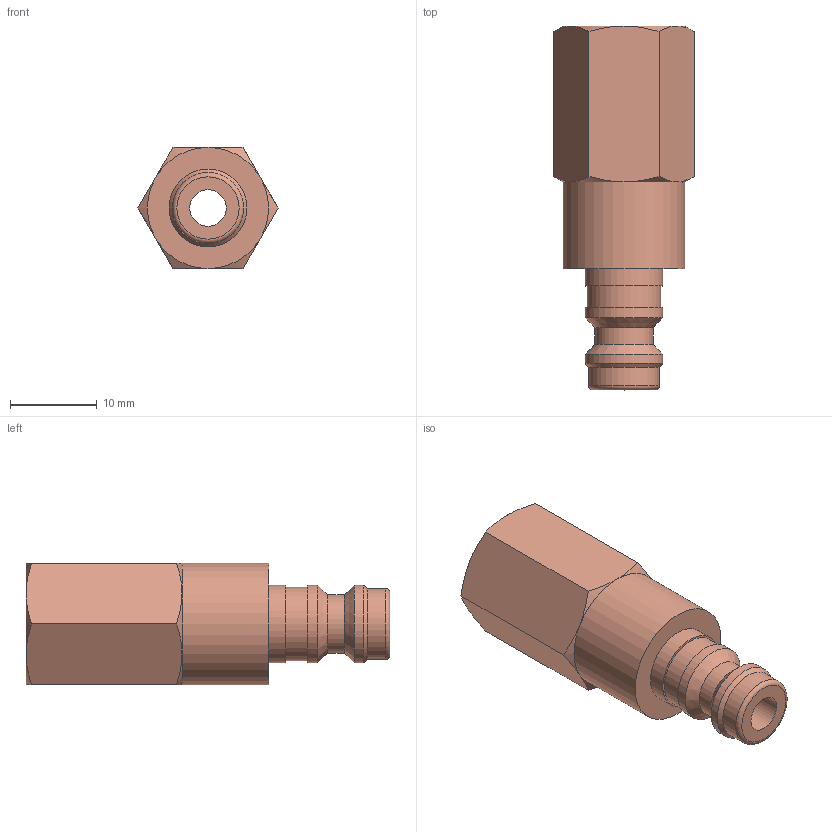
import cadquery as cq
import math


HEX_SIDES = 6
HEX_ACROSS_FLATS = 14.0
HEX_LENGTH = 18.0
HEX_CHAMFER_ANGLE = 30.0
COLLAR_RADIUS = HEX_ACROSS_FLATS / 2
COLLAR_LENGTH = 10.0
PLUG_LENGTH = 14.0
BORE_DIAMETER = 4.2

LAND_RADIUS = 4.5
RELIEF_RADIUS = 4.25
GROOVE_RADIUS = 3.35
TIP_RADIUS = 4.1
TIP_ROUNDING = 0.5

TIP_END = 2.6
FRONT_LAND_START = 3.1
FRONT_LAND_END = 4.1
GROOVE_CONE_LENGTH = LAND_RADIUS - GROOVE_RADIUS
GROOVE_START = FRONT_LAND_END + GROOVE_CONE_LENGTH
GROOVE_FLOOR_LENGTH = 1.95
GROOVE_END = GROOVE_START + GROOVE_FLOOR_LENGTH
REAR_LAND_START = GROOVE_END + GROOVE_CONE_LENGTH
REAR_LAND_END = 9.55
RELIEF_END = 12.0

HEX_START = PLUG_LENGTH + COLLAR_LENGTH
TOTAL_LENGTH = HEX_START + HEX_LENGTH
HEX_CORNER_RADIUS = HEX_ACROSS_FLATS / 2 / math.cos(math.pi / HEX_SIDES)
HEX_CHAMFER_DEPTH = (HEX_CORNER_RADIUS - COLLAR_RADIUS) * math.tan(math.radians(HEX_CHAMFER_ANGLE))


def revolve_about_y(profile):
    """Turn a closed XY profile (X = radius) into a solid around the Y axis."""
    return profile.revolve(360, (0, 0, 0), (0, 1, 0))


def make_plug_and_collar():
    """Stepped plug with its locking groove, followed by the round collar."""
    face_radius = TIP_RADIUS - TIP_ROUNDING
    profile = (
        cq.Workplane("XY")
        .lineTo(face_radius, 0)
        .radiusArc((TIP_RADIUS, TIP_ROUNDING), -TIP_ROUNDING)
        .lineTo(TIP_RADIUS, TIP_END)
        .lineTo(LAND_RADIUS, FRONT_LAND_START)
        .lineTo(LAND_RADIUS, FRONT_LAND_END)
        .lineTo(GROOVE_RADIUS, GROOVE_START)
        .lineTo(GROOVE_RADIUS, GROOVE_END)
        .lineTo(LAND_RADIUS, REAR_LAND_START)
        .lineTo(LAND_RADIUS, REAR_LAND_END)
        .lineTo(RELIEF_RADIUS, REAR_LAND_END)
        .lineTo(RELIEF_RADIUS, RELIEF_END)
        .lineTo(LAND_RADIUS, RELIEF_END)
        .lineTo(LAND_RADIUS, PLUG_LENGTH)
        .lineTo(COLLAR_RADIUS, PLUG_LENGTH)
        .lineTo(COLLAR_RADIUS, HEX_START)
        .lineTo(0, HEX_START)
        .close()
    )
    return revolve_about_y(profile)


def make_hexagon():
    """Hexagonal prism with corners on the X axis and both ends chamfered."""
    prism = (
        cq.Workplane("XZ", origin=(0, TOTAL_LENGTH, 0))
        .polygon(HEX_SIDES, 2 * HEX_CORNER_RADIUS)
        .extrude(HEX_LENGTH)
    )
    envelope = revolve_about_y(
        cq.Workplane("XY")
        .moveTo(0, HEX_START)
        .lineTo(COLLAR_RADIUS, HEX_START)
        .lineTo(HEX_CORNER_RADIUS, HEX_START + HEX_CHAMFER_DEPTH)
        .lineTo(HEX_CORNER_RADIUS, TOTAL_LENGTH - HEX_CHAMFER_DEPTH)
        .lineTo(COLLAR_RADIUS, TOTAL_LENGTH)
        .lineTo(0, TOTAL_LENGTH)
        .close()
    )
    return prism.intersect(envelope)


def make_bore():
    """Straight flow passage through the whole length."""
    return (
        cq.Workplane("XZ", origin=(0, TOTAL_LENGTH, 0))
        .circle(BORE_DIAMETER / 2)
        .extrude(TOTAL_LENGTH)
    )


result = make_plug_and_collar().union(make_hexagon()).cut(make_bore())